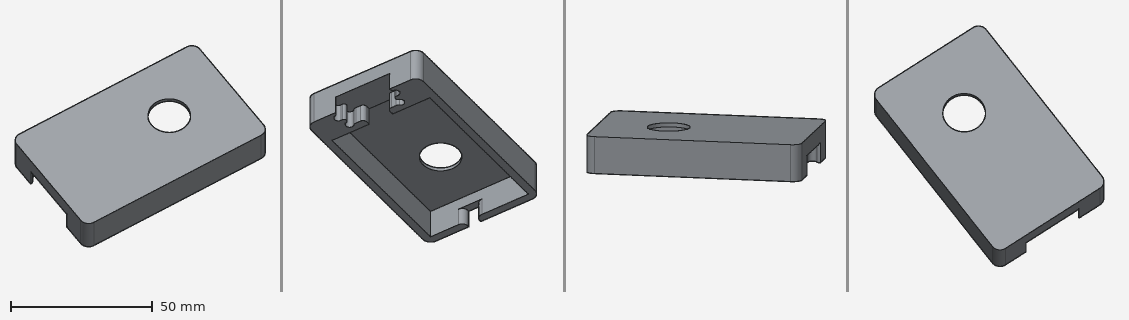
import cadquery as cq
import math


width = 47.5
length = 77.3
height = 13.3
corner_radius = 3.3
front_y = -length / 2
back_y = length / 2

wall = 3.0
roof = 1.5

window_diameter = 15.0
window_x = -1.5
window_y = 13.2

passage_height = 7.2
mouth_half_width = 11.45
bend_radius = 1.55
front_groove_x = 12.15
tooth_diameter = 2.1
tooth_radius = tooth_diameter / 2
tooth_x = mouth_half_width
rear_groove_x = 10.75
neck_half_width = 4.95
neck_length = 1.55
shoulder_angle = 45

exit_right_x = -1.5
exit_width = 5.0
exit_left_x = exit_right_x - exit_width
exit_flare_radius = 2.5


def polar(center, radius, angle):
    """Point on a circle at an angle in degrees."""
    turn = math.radians(angle)
    return (center[0] + radius * math.cos(turn), center[1] + radius * math.sin(turn))


def touching_center_y(x, y, next_x, center_distance):
    """Y of the next circle centre, further back, so that the two circles touch."""
    return y + math.sqrt(center_distance**2 - (next_x - x) ** 2)


def direction(start, end):
    """Angle in degrees from one point to another."""
    return math.degrees(math.atan2(end[1] - start[1], end[0] - start[0]))


mouth = (mouth_half_width + bend_radius, front_y)
front_groove = (
    front_groove_x,
    touching_center_y(*mouth, front_groove_x, 2 * bend_radius),
)
tooth = (tooth_x, front_groove[1] + bend_radius + tooth_radius)
rear_groove = (
    rear_groove_x,
    touching_center_y(*tooth, rear_groove_x, bend_radius + tooth_radius),
)
shoulder = (
    rear_groove_x - 2 * bend_radius * math.cos(math.radians(shoulder_angle)),
    rear_groove[1] + 2 * bend_radius * math.sin(math.radians(shoulder_angle)),
)
neck = (neck_half_width + bend_radius, shoulder[1])
cavity_front_y = neck[1] + neck_length
cavity_back_y = back_y - wall


def make_body():
    body = cq.Workplane("XY").rect(width, length).extrude(height)
    return body.edges("|Z").fillet(corner_radius)


def make_cavity():
    cavity_length = cavity_back_y - cavity_front_y
    return (
        cq.Workplane("XY")
        .center(0, (cavity_front_y + cavity_back_y) / 2)
        .rect(width - 2 * wall, cavity_length)
        .extrude(height - roof)
    )


def make_front_passage():
    mouth_end = direction(mouth, front_groove)
    tooth_end = direction(tooth, rear_groove)
    half = (
        cq.Workplane("XY")
        .moveTo(0, front_y)
        .lineTo(mouth_half_width, front_y)
        .threePointArc(
            polar(mouth, bend_radius, (180 + mouth_end) / 2),
            polar(mouth, bend_radius, mouth_end),
        )
        .threePointArc(
            polar(front_groove, bend_radius, 0),
            polar(front_groove, bend_radius, 90),
        )
        .lineTo(tooth_x, tooth[1] - tooth_radius)
        .threePointArc(
            polar(tooth, tooth_radius, 180),
            polar(tooth, tooth_radius, tooth_end),
        )
        .threePointArc(
            polar(rear_groove, bend_radius, 0),
            polar(rear_groove, bend_radius, 180 - shoulder_angle),
        )
        .threePointArc(
            polar(shoulder, bend_radius, -(90 + shoulder_angle) / 2),
            polar(shoulder, bend_radius, -90),
        )
        .lineTo(neck[0], neck[1] - bend_radius)
        .threePointArc(
            polar(neck, bend_radius, -135),
            polar(neck, bend_radius, 180),
        )
        .lineTo(neck_half_width, cavity_front_y)
        .lineTo(0, cavity_front_y)
        .close()
        .extrude(passage_height)
    )
    return half.union(half.mirror("YZ"))


def make_exit_passage():
    flare_y = cavity_back_y + exit_flare_radius
    left_flare = (exit_left_x - exit_flare_radius, flare_y)
    right_flare = (exit_right_x + exit_flare_radius, flare_y)
    return (
        cq.Workplane("XY")
        .moveTo(left_flare[0], cavity_back_y)
        .threePointArc(
            polar(left_flare, exit_flare_radius, -45),
            polar(left_flare, exit_flare_radius, 0),
        )
        .lineTo(exit_left_x, back_y)
        .lineTo(exit_right_x, back_y)
        .lineTo(exit_right_x, flare_y)
        .threePointArc(
            polar(right_flare, exit_flare_radius, -135),
            polar(right_flare, exit_flare_radius, -90),
        )
        .close()
        .extrude(passage_height)
    )


def make_window():
    return (
        cq.Workplane("XY")
        .center(window_x, window_y)
        .circle(window_diameter / 2)
        .extrude(height)
    )


result = (
    make_body()
    .cut(make_cavity())
    .cut(make_front_passage())
    .cut(make_exit_passage())
    .cut(make_window())
)